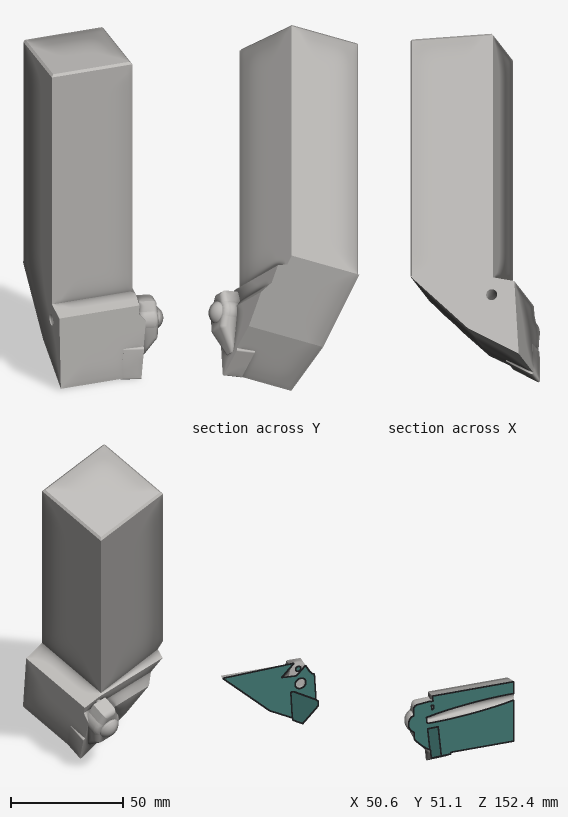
import cadquery as cq
import math

shank = 38.1
total_length = 152.4
shank_chamfer = 0.99

diagonal_top_z = 41.6
heel_x = 26.5
heel_z = 15.2
toe_x = 49.8
toe_z = 1.5
notch_z = 38.1
shoulder_x = 47.9
shoulder_z = 35.7
head_stock_y = 48.8

seat_slope = 0.1
seat_x = 41.6
seat_y = 41.3
seat_z = 25.9
platform_end = 11.5
end_face_lean = 0.15
step_start = 1.7
step_drop = 3.7
cutter_reach = 61.0

insert_side = 15.5
insert_angle = 55.0
insert_thickness = 4.7
shim_thickness = insert_thickness
insert_corner_radius = 0.8
side_edge_lean = 2.5
corner_x = 50.7
corner_z = -0.65

screw_hole_diameter = 5.0
clamp_radius = 6.9
clamp_nose = 18.1
clamp_nose_half_width = 3.0
clamp_nose_height = 0.5
clamp_tail = 9.3
clamp_tail_half_width = 3.0
clamp_tail_height = 5.6
clamp_front_peak = 7.6
clamp_front_height = 7.0
clamp_turn = 7.0
bar_overrun = 0.8
clamp_rounding = 2.3
upward_share = 0.5
foot_radius = 1.4
foot_height = 0.8
screw_head_radius = 4.9
screw_rim_height = 7.0
screw_top_height = 9.8

normal = cq.Vector(seat_slope, 1, -seat_slope).normalized()
up = cq.Vector(0, seat_slope, 1).normalized()
across = normal.cross(up)
seat_origin = cq.Vector(seat_x, seat_y, seat_z)
seat_plane = cq.Plane(origin=seat_origin, xDir=up, normal=normal)
seat_side_plane = cq.Plane(origin=seat_origin, xDir=up, normal=across * -1)


def make_shank():
    """Square bar with a chamfered top rim and corner edge, cut off along the diagonal of the head."""
    outline = [
        (0, diagonal_top_z),
        (heel_x, heel_z),
        (shank, heel_z),
        (shank, total_length),
        (0, total_length),
    ]
    bar = cq.Workplane("XZ").polyline(outline).close().extrude(-shank)
    return bar.faces(">Z").chamfer(shank_chamfer).edges("|Z and <X and <Y").chamfer(shank_chamfer)


def make_head():
    """Slanted head whose rear platform steps up to the seat plane."""
    outline = [
        (0, diagonal_top_z),
        (heel_x, heel_z),
        (toe_x, toe_z),
        (shoulder_x, shoulder_z),
        (shank, notch_z),
        (shank, diagonal_top_z),
    ]
    head = cq.Workplane("XZ").polyline(outline).close().extrude(-head_stock_y)
    above_seat = [
        (-cutter_reach, 0),
        (step_start, 0),
        (step_start + step_drop, -step_drop),
        (platform_end, -step_drop),
        (platform_end + end_face_lean * (cutter_reach - step_drop), -cutter_reach),
        (cutter_reach, -cutter_reach),
        (cutter_reach, cutter_reach),
        (-cutter_reach, cutter_reach),
    ]
    cutter = cq.Workplane(seat_side_plane).polyline(above_seat).close().extrude(cutter_reach, both=True)
    return head.cut(cutter)


def make_rhombus_plate(depth):
    """Rounded rhombus whose top lies in the seat plane, reaching down by depth."""
    corner_y = seat_y - seat_slope * (corner_x - seat_x) + seat_slope * (corner_z - seat_z)
    plane = cq.Plane(origin=(corner_x, corner_y, corner_z), xDir=up, normal=normal)
    side_angle = math.radians(side_edge_lean)
    lower_angle = math.radians(side_edge_lean + insert_angle)
    side_end = (insert_side * math.cos(side_angle), -insert_side * math.sin(side_angle))
    lower_end = (insert_side * math.cos(lower_angle), -insert_side * math.sin(lower_angle))
    far_end = (side_end[0] + lower_end[0], side_end[1] + lower_end[1])
    plate = cq.Workplane(plane).polyline([(0, 0), side_end, far_end, lower_end]).close().extrude(-depth)
    upright_edges = cq.selectors.ParallelDirSelector(normal)
    return plate.edges(upright_edges).fillet(insert_corner_radius)


def make_screw_hole():
    """Tilted hole on the clamp screw axis, from the front face to the seat plane."""
    return cq.Workplane(seat_plane).circle(screw_hole_diameter / 2).extrude(-cutter_reach)


def make_clamp():
    """Round-waisted clamp with a wedge nose over the insert and a tail behind the step."""
    plan = cq.Workplane(seat_plane).workplane(offset=-step_drop)
    height = step_drop + clamp_front_height
    waist = plan.circle(clamp_radius).extrude(height)
    nose_reach = clamp_nose + bar_overrun
    tail_reach = clamp_tail + bar_overrun
    bar_outline = [
        (-nose_reach, -clamp_nose_half_width),
        (0, -clamp_radius),
        (tail_reach, -clamp_tail_half_width),
        (tail_reach, clamp_tail_half_width),
        (0, clamp_radius),
        (-nose_reach, clamp_nose_half_width),
    ]
    bar = plan.transformed(rotate=(0, 0, -clamp_turn)).polyline(bar_outline).close().extrude(height)
    side_outline = [
        (-clamp_nose, 0),
        (-clamp_nose, clamp_nose_height),
        (-clamp_front_peak, clamp_front_height),
        (clamp_tail, clamp_tail_height),
        (clamp_tail, foot_height - step_drop),
        (step_start + step_drop - foot_height, foot_height - step_drop),
        (step_start, 0),
    ]
    side = cq.Workplane(seat_side_plane).polyline(side_outline).close().extrude(cutter_reach, both=True)
    clamp = waist.union(bar).intersect(side)
    upper_faces = [face for face in clamp.faces().vals() if face.normalAt().dot(normal) > upward_share]
    nose_tip = cq.selectors.DirectionMinMaxSelector(up, False)
    rounded_edges = clamp.newObject(upper_faces).edges(cq.selectors.InverseSelector(nose_tip))
    clamp = rounded_edges.fillet(clamp_rounding)
    turn = math.radians(clamp_turn)
    foot_distance = clamp_tail - foot_radius
    foot_center = (foot_distance * math.cos(turn), -foot_distance * math.sin(turn))
    foot = plan.center(*foot_center).circle(foot_radius).extrude(step_drop)
    return clamp.union(foot)


def make_screw_head():
    """Domed screw head rising out of the clamp."""
    dome_rise = screw_top_height - screw_rim_height
    dome_radius = (screw_head_radius**2 + dome_rise**2) / (2 * dome_rise)
    head = cq.Workplane(seat_plane).circle(screw_head_radius).extrude(screw_top_height)
    ball_center = seat_origin + normal * (screw_top_height - dome_radius)
    ball = cq.Workplane(cq.Plane(origin=ball_center)).sphere(dome_radius)
    return head.intersect(ball)


insert = make_rhombus_plate(insert_thickness)
insert_and_shim = make_rhombus_plate(insert_thickness + shim_thickness)
holder = make_shank().union(make_head()).cut(make_screw_hole()).union(insert_and_shim).cut(insert)
holder = holder.union(make_clamp()).union(make_screw_head())

result = cq.Compound.makeCompound([holder.solids().val(), insert.val()])